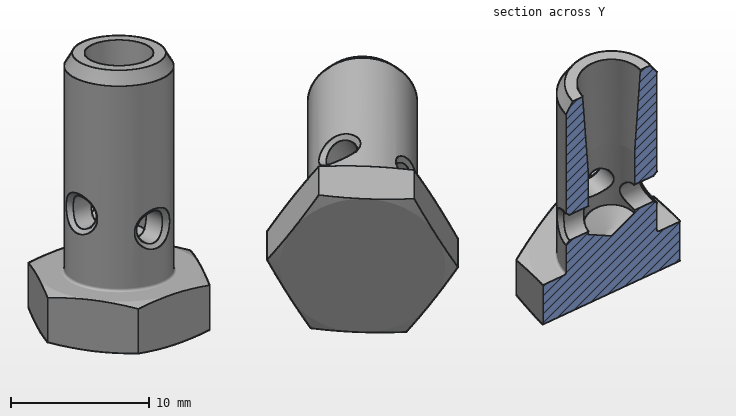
import cadquery as cq
import math

hex_flats = 12.0
head_height = 4
corner_chamfer_angle = 15

total_height = 21
shank_diameter = 7.95
head_fillet = 0.2
tip_flat_diameter = 6.78
tip_height = 1.0

bore_mouth_diameter = 5.0
bore_diameter = 4
taper_depth = 8.0
straight_bore_depth = 14.07
drill_point_angle = 118

cross_hole_diameter = 2.5
x_hole_z = 8.48
y_hole_z = 9.51
rim_chamfer = 0.32
rim_points = 24
rim_overrun = 0.2

shank_radius = shank_diameter / 2
hole_radius = cross_hole_diameter / 2


def revolve_outline(points):
    """Turn a closed outline of (radius, z) points about the Z axis."""
    return cq.Workplane("XZ").polyline(points).close().revolve(360, (0, 0), (0, 1))


def make_head():
    """Hexagon whose corners are turned off at both ends."""
    flat_radius = hex_flats / 2
    corner_radius = hex_flats / math.sqrt(3)
    corner_drop = (corner_radius - flat_radius) * math.tan(math.radians(corner_chamfer_angle))
    hexagon = (
        cq.Workplane("XY")
        .polygon(6, 2 * corner_radius)
        .extrude(head_height)
        .rotate((0, 0, 0), (0, 0, 1), 30)
    )
    turned_blank = revolve_outline([
        (0, 0),
        (flat_radius, 0),
        (corner_radius, corner_drop),
        (corner_radius, head_height - corner_drop),
        (flat_radius, head_height),
        (0, head_height),
    ])
    return hexagon.intersect(turned_blank)


def make_shank():
    """Round shank with a fillet onto the head and a conical tip."""
    return (
        cq.Workplane("XZ")
        .lineTo(shank_radius + head_fillet, 0)
        .lineTo(shank_radius + head_fillet, head_height)
        .radiusArc((shank_radius, head_height + head_fillet), head_fillet)
        .lineTo(shank_radius, total_height - tip_height)
        .lineTo(tip_flat_diameter / 2, total_height)
        .lineTo(0, total_height)
        .close()
        .revolve(360, (0, 0), (0, 1))
    )


def make_bore():
    """Solid that fills the blind bore."""
    bore_radius = bore_diameter / 2
    bore_end_z = total_height - straight_bore_depth
    point_depth = bore_radius / math.tan(math.radians(drill_point_angle / 2))
    return revolve_outline([
        (0, bore_end_z - point_depth),
        (bore_radius, bore_end_z),
        (bore_radius, total_height - taper_depth),
        (bore_mouth_diameter / 2, total_height),
        (0, total_height),
    ])


def rim_section(stretch):
    """Points of a closed curve that follows the rim chamfer of a hole along +X.

    The chamfer spans the two lines where a ball, rolled inside the metal of the rim, touches
    the hole wall (stretch 0) and the shank surface (stretch 1). Other values lie on the same
    straight lines, prolonged.
    """
    ball_path_radius = hole_radius + rim_chamfer
    ball_depth_radius = shank_radius - rim_chamfer
    outward = shank_radius / ball_depth_radius
    points = []
    for i in range(rim_points):
        angle = 2 * math.pi * i / rim_points
        ball_y = ball_path_radius * math.cos(angle)
        ball_z = ball_path_radius * math.sin(angle)
        ball_x = math.sqrt(ball_depth_radius ** 2 - ball_y ** 2)
        wall_point = cq.Vector(ball_x, hole_radius * math.cos(angle), hole_radius * math.sin(angle))
        shank_point = cq.Vector(ball_x * outward, ball_y * outward, ball_z)
        points.append(wall_point + (shank_point - wall_point) * stretch)
    return points


def flattened(points, x):
    """The same curve pressed onto the plane at the given X."""
    return [cq.Vector(x, point.y, point.z) for point in points]


def make_rim_cutter():
    """Flaring plug that chamfers the rim of a hole along +X."""
    inner = rim_section(-rim_overrun)
    outer = rim_section(1 + rim_overrun)
    sections = [
        flattened(inner, shank_radius / 2),
        inner,
        outer,
        flattened(outer, shank_radius + rim_chamfer),
    ]
    wires = []
    for points in sections:
        curve = cq.Edge.makeSpline(points, periodic=True)
        wires.append(cq.Wire.assembleEdges([curve]))
    return cq.Workplane(cq.Solid.makeLoft(wires, True))


def make_cross_hole_cutters():
    """A drill along X through the whole shank, and a rim cutter for each of its ends."""
    drill = cq.Workplane("YZ").circle(hole_radius).extrude(shank_diameter, both=True)
    rim_cutter = make_rim_cutter()
    opposite_rim_cutter = rim_cutter.rotate((0, 0, 0), (0, 0, 1), 180)
    return [drill, rim_cutter, opposite_rim_cutter]


result = make_head().union(make_shank()).cut(make_bore())

for turn, hole_z in ((0, x_hole_z), (90, y_hole_z)):
    for cutter in make_cross_hole_cutters():
        result = result.cut(cutter.rotate((0, 0, 0), (0, 0, 1), turn).translate((0, 0, hole_z)))